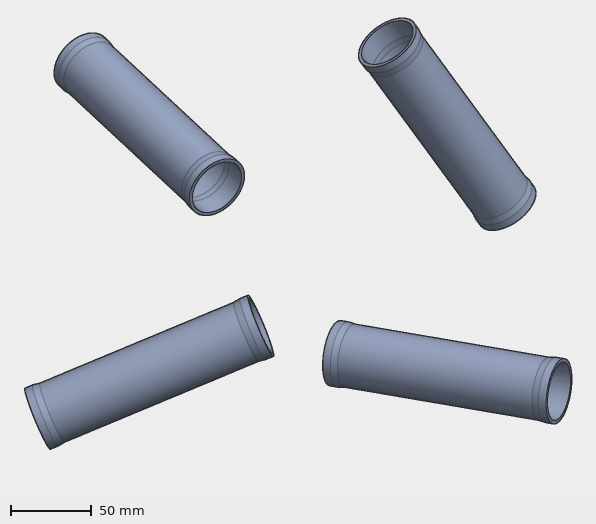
import cadquery as cq

length = 150.0
half_length = length / 2

end_diameter = 41.1
body_diameter = 39.8
collar_length = 5.2
outer_taper_length = 4.5

mouth_diameter = 36.6
bore_diameter = 37.2
mouth_length = 14.0
inner_taper_length = 4.5


def stepped_cylinder(end_diameter, end_length, taper_length, middle_diameter):
    """Solid of revolution about X whose two straight ends taper to the middle diameter."""
    end_radius = end_diameter / 2
    middle_radius = middle_diameter / 2
    taper_start = half_length - end_length
    taper_end = taper_start - taper_length
    profile = [
        (-half_length, 0),
        (-half_length, end_radius),
        (-taper_start, end_radius),
        (-taper_end, middle_radius),
        (taper_end, middle_radius),
        (taper_start, end_radius),
        (half_length, end_radius),
        (half_length, 0),
    ]
    return cq.Workplane("XZ").polyline(profile).close().revolve(360, (0, 0, 0), (1, 0, 0))


outside = stepped_cylinder(end_diameter, collar_length, outer_taper_length, body_diameter)
inside = stepped_cylinder(mouth_diameter, mouth_length, inner_taper_length, bore_diameter)
result = outside.cut(inside)